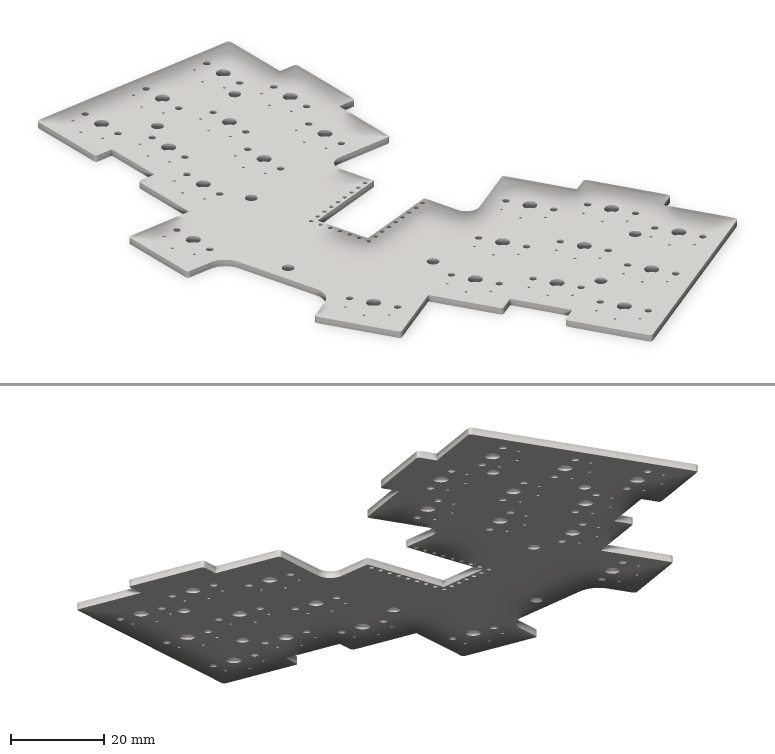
import cadquery as cq
import math


LENGTH = 161.0
THICKNESS = 1.6
TILT = 15.0
CORNER_RADIUS = 0.6

OUTER_TO_THUMB = 51.0
PITCH = OUTER_TO_THUMB / 3
CELL = 19.8
MIDDLE_COLUMN_RISE = 4.5
HOME_KEY_Y = 14.6
COLUMN_LENGTH = 2 * PITCH + CELL

STEM_DIAMETER = 3.2
PEG_DIAMETER = 1.6
PEG_OFFSET = 5.5
PIN_DIAMETER = 0.6
PIN_OFFSET = 5.0
SIDE_PIN_DROP = 3.9
CENTRE_PIN_DROP = 5.8

WEB_TOP = 11.8
WEB_BOTTOM = -33.6
WEB_TOP_FILLET = 3.0
WEB_BOTTOM_FILLET = 5.0

PAD_PITCH = 7.5 / 3
PAD_DIAMETER = 1.0
PAD_TO_BAY_EDGE = 1.0
SIDE_PADS = 9
BOTTOM_PADS = 7
BOTTOM_PAD_Y = -10.3

MOUNT_DIAMETER = 2.7
LEFT_MOUNTS = [(-52.5, 25.1), (-58.1, 4.3), (-23.8, -9.5)]
CENTRE_MOUNT = (0.0, -29.6)

COS = math.cos(math.radians(TILT))
SIN = math.sin(math.radians(TILT))


def rotate(u, v):
    """Turn a vector of the tilted key frame into board directions."""
    return u * COS + v * SIN, v * COS - u * SIN


OUTER_COLUMN = (-PITCH, -MIDDLE_COLUMN_RISE)
MIDDLE_COLUMN = (0.0, 0.0)
INNER_COLUMN = (PITCH, -MIDDLE_COLUMN_RISE)
COLUMNS = [OUTER_COLUMN, MIDDLE_COLUMN, INNER_COLUMN]
THUMB_KEY = (2 * PITCH, INNER_COLUMN[1] - 2 * PITCH)

corner_center = rotate(
    OUTER_COLUMN[0] - CELL / 2 + CORNER_RADIUS,
    OUTER_COLUMN[1] - COLUMN_LENGTH / 2 + CORNER_RADIUS,
)
HOME_KEY_X = -LENGTH / 2 + CORNER_RADIUS - corner_center[0]


def to_board(u, v):
    """Board position of a point of the tilted key frame."""
    x, y = rotate(u, v)
    return HOME_KEY_X + x, HOME_KEY_Y + y


def key_block(center, length):
    """Tilted rounded plate around one column of keys."""
    return (
        cq.Workplane("XY")
        .rect(CELL, length)
        .extrude(THICKNESS)
        .edges("|Z")
        .fillet(CORNER_RADIUS)
        .rotate((0, 0, 0), (0, 0, 1), -TILT)
        .translate(to_board(*center) + (0,))
    )


def right_edge_crossing(center, y):
    """Point at height y on the right edge of the key block with this center."""
    edge_x, edge_y = to_board(center[0] + CELL / 2, center[1])
    return edge_x + (y - edge_y) * math.tan(math.radians(TILT)), y


def web_half():
    """Left half of the web; its outer points are buried inside the key blocks."""
    inner_x, inner_y = to_board(*INNER_COLUMN)
    low_key = to_board(INNER_COLUMN[0], INNER_COLUMN[1] - PITCH)
    thumb_x, thumb_y = to_board(*THUMB_KEY)
    outline = [
        (0, WEB_TOP),
        (inner_x, WEB_TOP),
        (inner_x, inner_y),
        low_key,
        (thumb_x, thumb_y),
        (thumb_x, WEB_BOTTOM),
        (0, WEB_BOTTOM),
    ]
    return cq.Workplane("XY").polyline(outline).close().extrude(THICKNESS)


def fillet_at(body, point, radius):
    """Round the upright edge that stands at the given point."""
    target = point + (THICKNESS / 2,)
    edge = cq.selectors.NearestToPointSelector(target)
    return body.edges("|Z").edges(edge).fillet(radius)


def left_half():
    body = web_half().union(key_block(THUMB_KEY, CELL))
    for column in COLUMNS:
        body = body.union(key_block(column, COLUMN_LENGTH))
    body = fillet_at(body, right_edge_crossing(INNER_COLUMN, WEB_TOP), WEB_TOP_FILLET)
    return fillet_at(body, right_edge_crossing(THUMB_KEY, WEB_BOTTOM), WEB_BOTTOM_FILLET)


def drill(body, points, diameter):
    """Through holes at board positions."""
    drills = cq.Workplane("XY").pushPoints(points).circle(diameter / 2).extrude(THICKNESS)
    return body.cut(drills)


def drill_keys(body):
    """Stem, peg and pin holes of every key switch."""
    keys = [(u, v + row * PITCH) for u, v in COLUMNS for row in (-1, 0, 1)]
    keys.append(THUMB_KEY)
    pegs = [(-PEG_OFFSET, 0), (PEG_OFFSET, 0)]
    pins = [(-PIN_OFFSET, -SIDE_PIN_DROP), (0, -CENTRE_PIN_DROP), (PIN_OFFSET, -SIDE_PIN_DROP)]
    patterns = [(STEM_DIAMETER, [(0, 0)]), (PEG_DIAMETER, pegs), (PIN_DIAMETER, pins)]
    for diameter, offsets in patterns:
        points = [to_board(u + du, v + dv) for u, v in keys for du, dv in offsets]
        body = drill(body, points, diameter)
    return body


def cut_controller_bay(body):
    """Open bay in the top of the web, with pads along its two sides and bottom."""
    pad_x = PAD_PITCH * (BOTTOM_PADS - 1) / 2
    bay_width = 2 * (pad_x - PAD_TO_BAY_EDGE)
    bay_bottom = BOTTOM_PAD_Y + PAD_TO_BAY_EDGE
    bay_depth = WEB_TOP - bay_bottom
    bay = cq.Workplane("XY").box(bay_width, bay_depth, THICKNESS, centered=(True, False, False))
    body = body.cut(bay.translate((0, bay_bottom, 0)))

    pads = [(-pad_x + i * PAD_PITCH, BOTTOM_PAD_Y) for i in range(BOTTOM_PADS)]
    for side_x in (-pad_x, pad_x):
        pads += [(side_x, BOTTOM_PAD_Y + i * PAD_PITCH) for i in range(1, SIDE_PADS)]
    return drill(body, pads, PAD_DIAMETER)


half = drill_keys(left_half())
half = drill(half, LEFT_MOUNTS, MOUNT_DIAMETER)
board = half.union(half.mirror("YZ"))
board = cut_controller_bay(board)
result = drill(board, [CENTRE_MOUNT], MOUNT_DIAMETER)